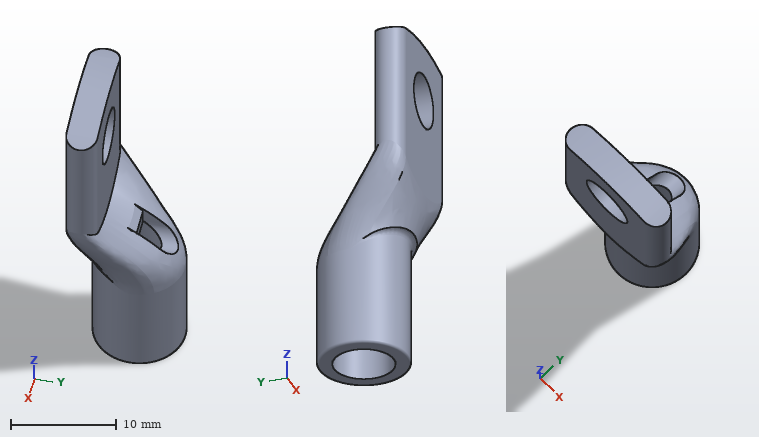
import cadquery as cq
import math

total_height = 33.15
total_depth = 10.5

barrel_radius = 9.0 / 2
bore_radius = 6.0 / 2
barrel_height = 10.1
bore_end_height = 13.92
bore_end_slope = 0.72
mouth_fillet = 0.25

palm_width = 13.0
palm_thickness = 3.02
palm_tip_radius = 20.9
palm_root_radius = 9.0
palm_root_bottom = 17.25
bolt_hole_diameter = 5.5
bolt_hole_height = 27.2

palm_front = barrel_radius - total_depth
palm_middle = palm_front + palm_thickness / 2
palm_end_radius = palm_thickness / 2
palm_flat_half = palm_width / 2 - palm_end_radius
palm_root_center = palm_root_bottom + palm_root_radius

back_seam_angle = 30.0
front_seam_angle = -23.0
back_tangency = 0.25
neck_levels = 8
points_per_side = 12

overhang_start_y = 1.0
overhang_slope = 0.48
overhang_fillet = 0.55

slot_width = 3.05
slot_ramp_height = 15.35
slot_ramp_slope = 1.0
slot_ramp_run = 1.65

sew_tolerance = 0.02
palm_trim_margin = 1.0


def palm_root_height(x):
    return palm_root_center - math.sqrt(palm_root_radius**2 - x**2)


def palm_tip_height(x):
    return total_height - palm_tip_radius + math.sqrt(palm_tip_radius**2 - x**2)


def make_palm():
    """Bar with rounded long sides, trimmed to an arc at the tip and at the root."""
    bar = (
        cq.Workplane("XY")
        .center(0, palm_middle)
        .slot2D(palm_width, palm_thickness)
        .extrude(total_height)
    )
    half = palm_width / 2 + palm_trim_margin
    front_outline = (
        cq.Workplane("XZ")
        .moveTo(-half, palm_root_height(half))
        .threePointArc((0, palm_root_bottom), (half, palm_root_height(half)))
        .lineTo(half, palm_tip_height(half))
        .threePointArc((0, total_height), (-half, palm_tip_height(half)))
        .close()
        .extrude(total_depth, both=True)
    )
    return bar.intersect(front_outline)


def rim_point(angle):
    angle = math.radians(angle)
    return (barrel_radius * math.cos(angle), barrel_radius * math.sin(angle), barrel_height)


def palm_root_point(x, y):
    return (x, y, palm_root_height(x))


def neck_point(rim, root, tangency, t):
    """Point at fraction t of the height from rim to root; tangency 1 runs smoothly into the palm."""
    kinked = t**2
    smooth = t**2 * (3 - 2 * t)
    forward = kinked + tangency * (smooth - kinked)
    x = rim[0] + (root[0] - rim[0]) * smooth
    y = rim[1] + (root[1] - rim[1]) * forward
    z = rim[2] + (root[2] - rim[2]) * t
    return cq.Vector(x, y, z)


def flat_line(s, is_front):
    """Flow line across a flat face; s runs from -1 at the left seam to 1 at the right seam."""
    if is_front:
        rim = rim_point(-90 + s * (90 + front_seam_angle))
        return rim, palm_root_point(s * palm_flat_half, palm_front), 1.0
    rim = rim_point(90 - s * (90 - back_seam_angle))
    return rim, palm_root_point(s * palm_flat_half, palm_front + palm_thickness), back_tangency * s**2


def side_line(s, side):
    """Flow line on a rounded side; s runs from -1 at the front seam to 1 at the back seam."""
    middle = (back_seam_angle + front_seam_angle) / 2
    half = (back_seam_angle - front_seam_angle) / 2
    x, y, z = rim_point(middle + s * half)
    turn = math.radians(90 * s)
    root_x = palm_flat_half + palm_end_radius * math.cos(turn)
    root_y = palm_middle + palm_end_radius * math.sin(turn)
    tangency = 1 - (1 - back_tangency) * (1 + s) / 2
    return (side * x, y, z), palm_root_point(side * root_x, root_y), tangency


def neck_section(t):
    """Closed wire of four edges around the neck at fraction t from the rim to the palm root."""
    steps = [-1 + 2 * i / points_per_side for i in range(points_per_side + 1)]
    back_to_front = list(reversed(steps))
    sides = [
        [flat_line(s, True) for s in steps],
        [side_line(s, 1) for s in steps],
        [flat_line(s, False) for s in back_to_front],
        [side_line(s, -1) for s in back_to_front],
    ]
    edges = []
    for lines in sides:
        points = [neck_point(rim, root, tangency, t) for rim, root, tangency in lines]
        if t == 0:
            edges.append(cq.Edge.makeThreePointArc(points[0], points[points_per_side // 2], points[-1]))
        else:
            edges.append(cq.Edge.makeSpline(points))
    return cq.Wire.assembleEdges(edges)


def make_neck_and_palm():
    """One solid sewn from the neck skin, its flat bottom and the palm without its root face."""
    sections = [neck_section(i / neck_levels) for i in range(neck_levels + 1)]
    neck_skin = cq.occ_impl.shapes.loft(sections)
    neck_bottom = cq.Face.makeFromWires(sections[0])
    palm = make_palm()
    root_face = palm.faces("<Z").val()
    palm_skin = [face for face in palm.faces().vals() if not face.isSame(root_face)]
    faces = neck_skin.Faces() + [neck_bottom] + palm_skin
    return cq.Workplane(cq.occ_impl.shapes.solid(faces, tol=sew_tolerance))


def make_envelope():
    """Barrel joined by a fillet to everything above the sloping plane of the overhang."""
    reach = total_depth
    climb = overhang_slope * reach
    above_plane = (
        cq.Workplane("YZ")
        .moveTo(overhang_start_y - reach, barrel_height + climb)
        .lineTo(overhang_start_y + reach, barrel_height - climb)
        .lineTo(overhang_start_y + reach, 2 * total_height)
        .lineTo(overhang_start_y - reach, 2 * total_height)
        .close()
        .extrude(palm_width, both=True)
    )
    barrel = cq.Workplane("XY").circle(barrel_radius).extrude(barrel_height + climb)
    return above_plane.union(barrel).edges("%ELLIPSE").fillet(overhang_fillet)


def make_barrel():
    return cq.Workplane("XY").circle(barrel_radius).extrude(barrel_height)


def make_bore():
    """Bore closed by a sloping end that runs roughly parallel to the back of the neck."""
    end_rise = bore_end_slope * barrel_radius
    profile = (
        cq.Workplane("YZ")
        .moveTo(-barrel_radius, 0)
        .lineTo(barrel_radius, 0)
        .lineTo(barrel_radius, bore_end_height - end_rise)
        .lineTo(-barrel_radius, bore_end_height + end_rise)
        .close()
        .extrude(barrel_radius, both=True)
    )
    return cq.Workplane("XY").circle(bore_radius).extrude(total_height).intersect(profile)


def make_slot():
    """Inspection slot into the back of the neck: round floor, flat end wall, ramp at the top."""
    ramp_top = slot_ramp_height + slot_ramp_slope * slot_ramp_run
    floor = cq.Workplane("XZ", origin=(0, 0, bore_end_height)).circle(slot_width / 2)
    opening = (
        cq.Workplane("YZ")
        .moveTo(0, bore_end_height)
        .lineTo(0, slot_ramp_height)
        .lineTo(-slot_ramp_run, ramp_top)
        .lineTo(barrel_radius, ramp_top)
        .lineTo(barrel_radius, bore_end_height)
        .close()
        .extrude(slot_width / 2, both=True)
    )
    return floor.extrude(-barrel_radius).union(opening)


def make_bolt_hole():
    """Through hole across the palm."""
    hole = cq.Workplane("XZ", origin=(0, 0, bolt_hole_height)).circle(bolt_hole_diameter / 2)
    return hole.extrude(total_depth)


lug = make_barrel().union(make_neck_and_palm()).intersect(make_envelope())
lug = lug.faces("<Z").edges().fillet(mouth_fillet)
result = lug.cut(make_bore()).cut(make_slot()).cut(make_bolt_hole())